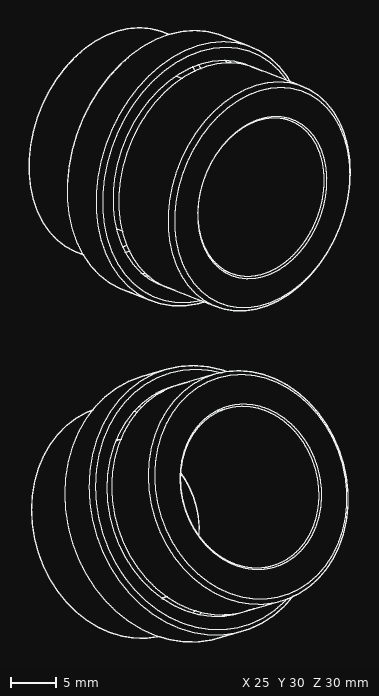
import cadquery as cq

length = 25.0
flange_diameter = 30.0
body_diameter = 26.0
bore_diameter = 18.0
flange_start = 9.0
flange_width = 6.0
groove_width = 1.0
edge_chamfer = 0.5
bore_chamfer = 0.2

flange_end = flange_start + flange_width
groove_radius = groove_width / 2


def cylinder(start, width, diameter):
    """Solid cylinder along X."""
    return cq.Workplane("YZ", origin=(start, 0, 0)).circle(diameter / 2).extrude(width)


def round_groove(center):
    """Ring of circular section whose inner half cuts into the body surface."""
    return (
        cq.Workplane("XY")
        .center(center, body_diameter / 2)
        .circle(groove_radius)
        .revolve(360, (0, -body_diameter / 2), (1, -body_diameter / 2))
    )


body = cylinder(0, length, body_diameter).edges().chamfer(edge_chamfer)
flange = cylinder(flange_start, flange_width, flange_diameter).edges().chamfer(edge_chamfer)

for groove_center in (flange_start - groove_radius, flange_end + groove_radius):
    body = body.cut(round_groove(groove_center))

bore = cylinder(0, length, bore_diameter)
result = body.union(flange).cut(bore)
bore_mouth_radius = bore_diameter / 2 + bore_chamfer
for face_x, inward in ((0, 1), (length, -1)):
    mouth = cq.Solid.makeCone(
        bore_mouth_radius,
        bore_diameter / 2,
        bore_chamfer,
        pnt=cq.Vector(face_x, 0, 0),
        dir=cq.Vector(inward, 0, 0),
    )
    result = result.cut(cq.Workplane(mouth))